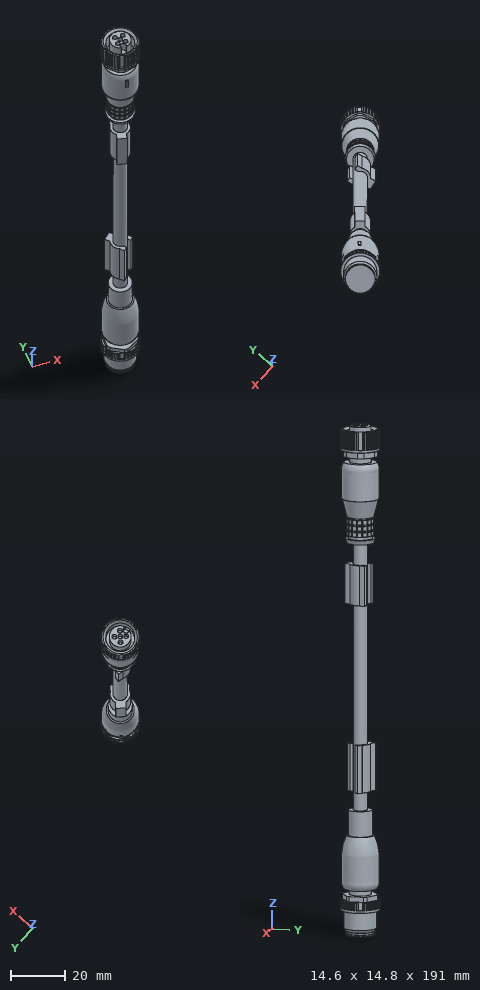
import cadquery as cq
import math

LENGTH = 191.0

CABLE_R = 2.7

NUT_R = 7.3
KNURL_COUNT = 36
KNURL_DEPTH = 0.4
KNURL_WIDTH = 0.5
GRIP_NOTCH_COUNT = 6
GRIP_NOTCH_DEPTH = 0.5
GRIP_NOTCH_WIDTH = 1.5
NOTCH_START_ANGLE = 15
COLLAR_HEIGHT = 1.0
NUT_CHAMFER = 0.29
HEX_CORNER_R = 6.7

BODY_R = 14.0 / 2
SHOULDER_R = 6.1
NECK_R = 8.2 / 2
MARK_WIDTH = 1.0
MARK_HEIGHT = 3.6
MARK_RAISE = 0.48
SHOULDER_BULGE = 0.4

TIP_R = 5.5
TIP_GROOVE_R = 5.2
TIP_RIM_HEIGHT = 0.5
TIP_TAPER_BOTTOM = 1.3
PLUG_BOTTOM = 2.5
PLUG_R = 6.1
PLUG_NUT_BOTTOM = 9.2
PLUG_NUT_TOP = 13.2
PLUG_HEX_TOP = 15.0
PLUG_HEX_APOTHEM = 6.1
PLUG_BODY_BOTTOM = 17.2
PLUG_SHOULDER_TOP = 20.2
PLUG_TAPER_BOTTOM = 30.4
PLUG_TAPER_TOP = 37.2
PLUG_TAPER_R = 5.2
PLUG_TAPER_BULGE = 0.4
PLUG_HEX_FLAT_ANGLE = 0
PLUG_MARK_BOTTOM = 19.1
SLEEVE_TOP = 46.8
SLEEVE_R = 9.0 / 2

BOOT_BOTTOM = 147.0
BOOT_R = 10.1 / 2
BOOT_CORE_R = 9.0 / 2
FLANGE_TOP = 148.8
FLANGE_R = 11.3 / 2
RIB_PITCH = 2.3
RIB_COUNT = 3
RIB_HEIGHT = 1.7
FIRST_RIB_BOTTOM = 150.0
BOOT_CONE_BOTTOM = FIRST_RIB_BOTTOM + RIB_COUNT * RIB_PITCH
BOOT_CONE_TOP = 163.7
BOOT_CONE_TOP_R = 13.5 / 2
BOOT_SLOT_COUNT = 16
BOOT_SLOT_WIDTH = 0.4
SOCKET_SHOULDER_BOTTOM = 174.0
SOCKET_BODY_TOP = 177.5
SOCKET_MARK_BOTTOM = 171.5
SOCKET_NUT_BOTTOM = 179.7
SOCKET_GRIP_BOTTOM = 182.0
SOCKET_NUT_TOP = 189.9
SOCKET_HEX_APOTHEM = 6.3
SOCKET_HEX_FLAT_ANGLE = 45
NUT_BORE_R = 5.3
NUT_COUNTERSINK = 1.0
NUT_BORE_DEPTH = 6.7
INSERT_R = 4.0
CONTACT_HOLE_R = 0.85
CONTACT_OFFSET = 1.5
CONTACT_DEPTH = 4.8
KEYWAY_R = 1.1
KEYWAY_OFFSET = 3.2
KEYWAY_DEPTH = 3.8

CLIP_R = 3.8
CLIP_TAB_REACH = 5.5
CLIP_TAB_WIDTH = 3.8
CLIP_JAW_REACH = 3.5
CLIP_JAW_BACK = 1.3
CLIP_JAW_WIDTH = 7.3
CLIP_SLOT_WIDTH = 3.6
PLUG_CLIP_BOTTOM = 53.7
PLUG_CLIP_TOP = 71.6
PLUG_SIDE_ANGLE = 135
SOCKET_CLIP_BOTTOM = 124.0
SOCKET_CLIP_TOP = 139.0
SOCKET_CLIP_ANGLE = -102
SOCKET_MARK_ANGLE = -90


def cylinder(radius, bottom, top):
    """Cylinder on the cable axis between two levels."""
    return cq.Workplane("XY").workplane(offset=bottom).circle(radius).extrude(top - bottom)


def box(x_min, x_max, width, bottom, top):
    """Box centred on Y = 0 between two X positions and two levels."""
    block = cq.Workplane("XY").box(x_max - x_min, width, top - bottom, centered=(False, True, False))
    return block.translate((x_min, 0, bottom))


def turn(solid, angle):
    """Rotate a solid about the cable axis."""
    return solid.rotate((0, 0, 0), (0, 0, 1), angle)


def ring_of_slots(inner_r, outer_r, width, bottom, top, count, start_angle):
    """Radial slot cutters evenly spaced about the cable axis."""
    slot = box(inner_r, outer_r, width, bottom, top).val()
    cutters = cq.Workplane("XY")
    for i in range(count):
        angle = start_angle + 360 * i / count
        cutters = cutters.add(slot.rotate(cq.Vector(0, 0, 0), cq.Vector(0, 0, 1), angle))
    return cutters.combine()


def knurled_ring(bottom, top):
    """Grip ring with a plain collar below fine grooves and six wide finger notches."""
    ring = cylinder(NUT_R, bottom, top).faces(">Z").chamfer(NUT_CHAMFER)
    groove_bottom = bottom + COLLAR_HEIGHT
    half_pitch = 180 / KNURL_COUNT
    ring = ring.cut(ring_of_slots(
        NUT_R - KNURL_DEPTH, NUT_R + KNURL_DEPTH, KNURL_WIDTH, groove_bottom, top, KNURL_COUNT, half_pitch))
    return ring.cut(ring_of_slots(
        NUT_R - GRIP_NOTCH_DEPTH, NUT_R + GRIP_NOTCH_DEPTH, GRIP_NOTCH_WIDTH, groove_bottom, top,
        GRIP_NOTCH_COUNT, NOTCH_START_ANGLE))


def rounded_hex(apothem, bottom, top, flat_angle):
    """Hexagon with its corners rounded to a common radius; one flat faces flat_angle."""
    corner_diameter = 2 * apothem / math.cos(math.pi / 6)
    base = cq.Workplane("XY").workplane(offset=bottom)
    hexagon = base.polygon(6, corner_diameter).extrude(top - bottom)
    corner_to_flat = 30
    return turn(hexagon, flat_angle - corner_to_flat).intersect(cylinder(HEX_CORNER_R, bottom, top))


def position_mark(bottom, angle):
    """Raised bar on a moulded body that shows the key position."""
    bar = box(CABLE_R, BODY_R + MARK_RAISE, MARK_WIDTH, bottom, bottom + MARK_HEIGHT)
    return turn(bar, angle)


def plug_moulding():
    """Turned parts of the plug end, from the tip up to the cable sleeve."""
    profile = (
        cq.Workplane("XZ")
        .lineTo(TIP_R, 0)
        .lineTo(TIP_R, TIP_RIM_HEIGHT)
        .lineTo(TIP_GROOVE_R, TIP_RIM_HEIGHT)
        .lineTo(TIP_GROOVE_R, TIP_TAPER_BOTTOM)
        .lineTo(TIP_R, TIP_TAPER_BOTTOM)
        .lineTo(PLUG_R, PLUG_BOTTOM)
        .lineTo(PLUG_R, PLUG_NUT_TOP)
        .lineTo(NECK_R, PLUG_NUT_TOP)
        .lineTo(NECK_R, PLUG_BODY_BOTTOM)
        .lineTo(SHOULDER_R, PLUG_BODY_BOTTOM)
        .sagittaArc((BODY_R, PLUG_SHOULDER_TOP), -SHOULDER_BULGE)
        .lineTo(BODY_R, PLUG_TAPER_BOTTOM)
        .sagittaArc((PLUG_TAPER_R, PLUG_TAPER_TOP), -PLUG_TAPER_BULGE)
        .lineTo(SLEEVE_R, PLUG_TAPER_TOP)
        .lineTo(SLEEVE_R, SLEEVE_TOP)
        .lineTo(0, SLEEVE_TOP)
        .close()
    )
    return profile.revolve(360, (0, 0, 0), (0, 1, 0))


def plug():
    solid = plug_moulding()
    solid = solid.union(knurled_ring(PLUG_NUT_BOTTOM, PLUG_NUT_TOP))
    solid = solid.union(rounded_hex(PLUG_HEX_APOTHEM, PLUG_NUT_TOP, PLUG_HEX_TOP, PLUG_HEX_FLAT_ANGLE))
    return solid.union(position_mark(PLUG_MARK_BOTTOM, PLUG_SIDE_ANGLE))


def socket_moulding():
    """Turned boot, body and neck of the socket end."""
    profile = (
        cq.Workplane("XZ")
        .moveTo(0, BOOT_BOTTOM)
        .lineTo(BOOT_R, BOOT_BOTTOM)
        .lineTo(FLANGE_R, FLANGE_TOP)
        .lineTo(BOOT_CORE_R, FLANGE_TOP)
        .lineTo(BOOT_CORE_R, BOOT_CONE_BOTTOM)
        .lineTo(BOOT_R, BOOT_CONE_BOTTOM)
        .lineTo(BOOT_CONE_TOP_R, BOOT_CONE_TOP)
        .lineTo(BODY_R, BOOT_CONE_TOP)
        .lineTo(BODY_R, SOCKET_SHOULDER_BOTTOM)
        .sagittaArc((SHOULDER_R, SOCKET_BODY_TOP), -SHOULDER_BULGE)
        .lineTo(NECK_R, SOCKET_BODY_TOP)
        .lineTo(NECK_R, SOCKET_NUT_BOTTOM)
        .lineTo(0, SOCKET_NUT_BOTTOM)
        .close()
    )
    return profile.revolve(360, (0, 0, 0), (0, 1, 0))


def boot_ribs():
    """Bending ribs of the boot, split into segments by narrow axial slots."""
    ribs = cq.Workplane("XY")
    for i in range(RIB_COUNT):
        bottom = FIRST_RIB_BOTTOM + i * RIB_PITCH
        ribs = ribs.add(cylinder(BOOT_R, bottom, bottom + RIB_HEIGHT))
    return ribs.combine().cut(ring_of_slots(
        BOOT_CORE_R, FLANGE_R, BOOT_SLOT_WIDTH, FLANGE_TOP, BOOT_CONE_BOTTOM, BOOT_SLOT_COUNT, 0))


def contact_insert():
    """Contact carrier with five contact holes and a keyway facing -Y."""
    insert = cylinder(INSERT_R, SOCKET_NUT_BOTTOM, LENGTH)
    hole = cylinder(CONTACT_HOLE_R, LENGTH - CONTACT_DEPTH, LENGTH)
    insert = insert.cut(hole)
    for x in (-CONTACT_OFFSET, CONTACT_OFFSET):
        for y in (-CONTACT_OFFSET, CONTACT_OFFSET):
            insert = insert.cut(hole.translate((x, y, 0)))
    keyway = cylinder(KEYWAY_R, LENGTH - KEYWAY_DEPTH, LENGTH).translate((0, -KEYWAY_OFFSET, 0))
    return insert.cut(keyway)


def socket():
    solid = socket_moulding().union(boot_ribs())
    solid = solid.union(position_mark(SOCKET_MARK_BOTTOM, SOCKET_MARK_ANGLE))
    nut = knurled_ring(SOCKET_GRIP_BOTTOM, SOCKET_NUT_TOP)
    nut = nut.union(rounded_hex(
        SOCKET_HEX_APOTHEM, SOCKET_NUT_BOTTOM, SOCKET_GRIP_BOTTOM, SOCKET_HEX_FLAT_ANGLE))
    nut = nut.cut(cylinder(NUT_BORE_R, SOCKET_NUT_TOP - NUT_BORE_DEPTH, SOCKET_NUT_TOP))
    bore_rim = cq.selectors.RadiusNthSelector(0)
    nut = nut.faces(">Z").edges("%CIRCLE").edges(bore_rim).chamfer(NUT_COUNTERSINK)
    return solid.union(nut).union(contact_insert())


def marker_clip(bottom, top, tab_angle):
    """C-shaped marker carrier with a label tab on one side and open jaws on the other."""
    clip = cylinder(CLIP_R, bottom, top).intersect(box(-CLIP_JAW_REACH, CLIP_R, 2 * CLIP_R, bottom, top))
    clip = clip.union(box(0, CLIP_TAB_REACH, CLIP_TAB_WIDTH, bottom, top))
    clip = clip.union(box(-CLIP_JAW_REACH, -CLIP_JAW_BACK, CLIP_JAW_WIDTH, bottom, top))
    clip = clip.cut(box(-CLIP_TAB_REACH, 0, CLIP_SLOT_WIDTH, bottom, top))
    return turn(clip, tab_angle)


cable = cylinder(CABLE_R, SLEEVE_TOP, BOOT_BOTTOM)
result = (
    plug()
    .union(cable)
    .union(socket())
    .union(marker_clip(PLUG_CLIP_BOTTOM, PLUG_CLIP_TOP, PLUG_SIDE_ANGLE))
    .union(marker_clip(SOCKET_CLIP_BOTTOM, SOCKET_CLIP_TOP, SOCKET_CLIP_ANGLE))
)